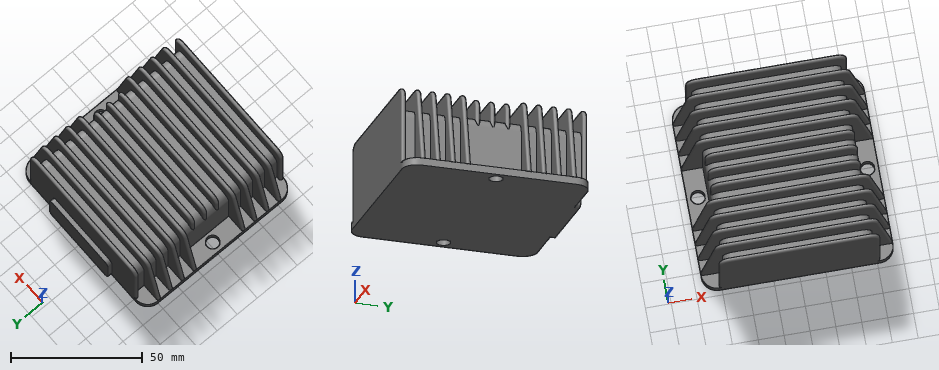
import cadquery as cq

plate_size = 74.0
plate_thickness = 3.0
plate_corner_radius = 6.0
hole_diameter = 5.5
hole_spacing = 65.5

body_width = 57.75
body_top = 26.5
profile_radius = 4.0

fin_top = 34.5
fin_thickness = 1.7
fin_pitch = 6.0
fin_tip_flat = 0.03
fin_edge_radius = (fin_thickness - fin_tip_flat) / 2
end_fin_width = plate_size - 2 * plate_corner_radius
end_fin_y = (plate_size - fin_thickness) / 2
wide_fins_per_group = 4
short_fin_count = 3

pad_width = 34.05
pad_height = 16.5
pad_depth = 2.0
pad_corner_radius = 2.05


def arched_slab(bottom_width, top_width, bottom, top, thickness):
    """Slab centred on Y = 0 with a trapezoid outline whose two top corners are rounded."""
    return (
        cq.Workplane("XZ")
        .moveTo(-bottom_width / 2, bottom)
        .lineTo(bottom_width / 2, bottom)
        .lineTo(top_width / 2, top)
        .lineTo(-top_width / 2, top)
        .close()
        .extrude(thickness / 2, both=True)
        .edges("|Y and >Z")
        .fillet(profile_radius)
    )


def fin(bottom_width, top_width, bottom):
    """Fin with a rounded tip running up both ends and across the top."""
    slab = arched_slab(bottom_width, top_width, bottom, fin_top, fin_thickness)
    rim = slab.faces("<Y or >Y").edges("not(<Z)")
    return rim.fillet(fin_edge_radius)


plate = (
    cq.Workplane("XY")
    .rect(plate_size, plate_size)
    .extrude(plate_thickness)
    .edges("|Z")
    .fillet(plate_corner_radius)
)
mounting_holes = (
    cq.Workplane("XY")
    .pushPoints([(-hole_spacing / 2, 0), (hole_spacing / 2, 0)])
    .circle(hole_diameter / 2)
    .extrude(plate_thickness)
)
plate = plate.cut(mounting_holes)

body = arched_slab(body_width, body_width, 0, body_top, 2 * end_fin_y)

end_fin = fin(end_fin_width, end_fin_width, plate_thickness)
wide_fin = fin(plate_size, end_fin_width, plate_thickness)
short_fin = fin(body_width, body_width, body_top - profile_radius)

pad = (
    cq.Workplane("XZ", origin=(0, plate_size / 2, pad_height / 2))
    .rect(pad_width, pad_height)
    .extrude(-pad_depth)
    .edges("|Y")
    .fillet(pad_corner_radius)
)

result = plate.union(body).union(pad)

for side in (-1, 1):
    result = result.union(end_fin.translate((0, side * end_fin_y, 0)))
    for step in range(1, wide_fins_per_group + 1):
        y = side * (end_fin_y - step * fin_pitch)
        result = result.union(wide_fin.translate((0, y, 0)))

for step in range(wide_fins_per_group + 1, wide_fins_per_group + short_fin_count + 1):
    y = end_fin_y - step * fin_pitch
    result = result.union(short_fin.translate((0, y, 0)))